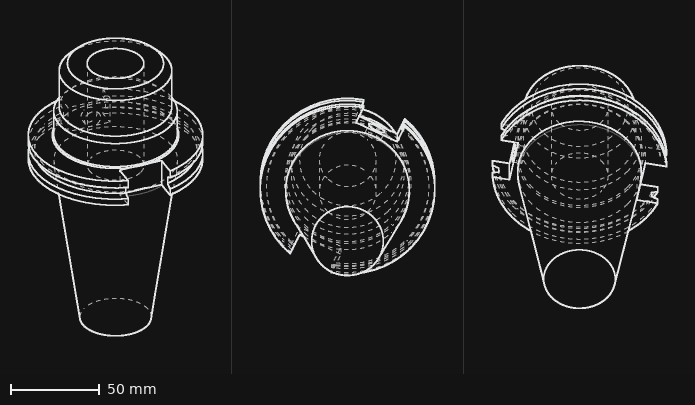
import cadquery as cq

total_height = 168.2
taper_small_radius = 20.2
taper_large_radius = 34.8
taper_height = 101.7

flange_diameter = 98.4
flange_radius = flange_diameter / 2
flange_bottom = 104.8
flange_top = 120.7
groove_floor_radius = 45.7
groove_middle = 112.5
groove_floor_width = 3.9
groove_mouth_width = 7.4

collar_radius = 34.8
collar_top = 139.7
collar_chamfer = 3.0
relief_radius = 35.6
relief_height = 0.7
nose_radius = 31.8
nose_chamfer_height = 4.7
nose_chamfer_width = 4.7

bore_radius = 16.0
bore_depth = 67.3

slot_width = 25.7
left_slot_floor = 37.7
right_slot_floor = 35.3

side_hole_radius = 4.9
side_hole_depth = 5.0


def make_body():
    """Revolve the half profile, given as (radius, height), about Z."""
    floor_low = groove_middle - groove_floor_width / 2
    floor_high = groove_middle + groove_floor_width / 2
    mouth_low = groove_middle - groove_mouth_width / 2
    mouth_high = groove_middle + groove_mouth_width / 2
    profile = [
        (0, 0),
        (taper_small_radius, 0),
        (taper_large_radius, taper_height),
        (taper_large_radius, flange_bottom),
        (flange_radius, flange_bottom),
        (flange_radius, mouth_low),
        (groove_floor_radius, floor_low),
        (groove_floor_radius, floor_high),
        (flange_radius, mouth_high),
        (flange_radius, flange_top),
        (relief_radius, flange_top),
        (collar_radius, flange_top + relief_height),
        (collar_radius, collar_top - collar_chamfer),
        (nose_radius, collar_top),
        (nose_radius, total_height - nose_chamfer_height),
        (nose_radius - nose_chamfer_width, total_height),
        (0, total_height),
    ]
    return cq.Workplane("XZ").polyline(profile).close().revolve(360, (0, 0, 0), (0, 1, 0))


def make_slot(floor_distance, side):
    """Cutter for one drive slot; side is -1 for -X and +1 for +X."""
    depth = flange_radius - floor_distance
    height = flange_top - flange_bottom
    return (
        cq.Workplane("XY")
        .box(depth, slot_width, height, centered=(True, True, False))
        .translate((side * (floor_distance + depth / 2), 0, flange_bottom))
    )


def make_bore():
    return (
        cq.Workplane("XY")
        .workplane(offset=total_height - bore_depth)
        .circle(bore_radius)
        .extrude(bore_depth)
    )


def make_side_hole():
    flange_middle = (flange_bottom + flange_top) / 2
    return (
        cq.Workplane("YZ")
        .workplane(offset=-left_slot_floor)
        .center(0, flange_middle)
        .circle(side_hole_radius)
        .extrude(side_hole_depth)
    )


result = (
    make_body()
    .cut(make_slot(left_slot_floor, -1))
    .cut(make_slot(right_slot_floor, 1))
    .cut(make_bore())
    .cut(make_side_hole())
)